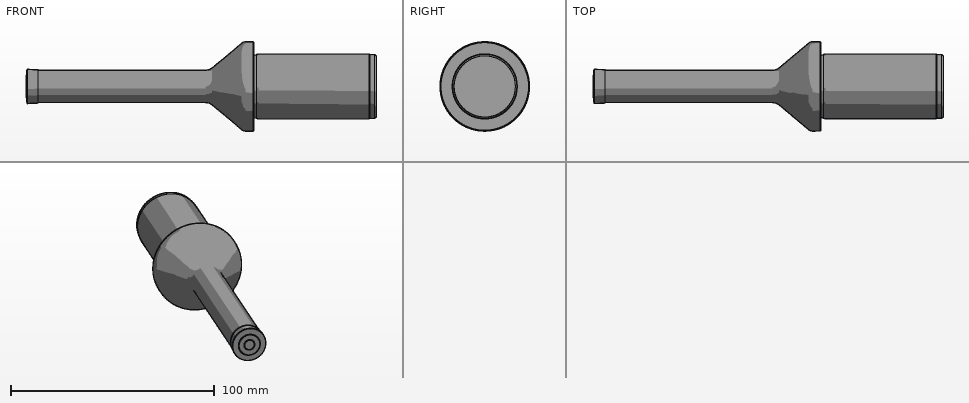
import cadquery as cq
import math


total_length = 172.0
shank_length = 60.0
head_length = 5.8
cone_start_x = 90.0
flange_back_x = total_length - shank_length

head_radius = 17.0 / 2
head_back_radius = 8.25
rim_chamfer_length = 0.3
rim_chamfer_depth = 0.2
center_boss_radius = 2.4
boss_foot_radius = 2.75
boss_height = 0.15
valley_radius = 3.8
valley_depth = 0.2
crest_radius = 5.2
crest_foot_radius = 5.55
crest_step = 0.2
face_bend_radius = 7.0
inner_face_slope = math.radians(4.0)
outer_face_slope = math.radians(6.0)

stem_radius = 16.0 / 2
flange_radius = 44.0 / 2
cone_angle = math.radians(40.0)
cone_foot_fillet = 5.0
cone_rim_fillet = 3.0
flange_chamfer = 0.5

shank_radius = 32.0 / 2
shank_end_radius = 31.5 / 2
neck_radius = 15.5
neck_length = 1.0
lead_in_length = 1.1
end_collar_length = 3.8
collar_taper_length = 0.6
end_chamfer_length = 1.0
end_chamfer_depth = 0.75


def revolve_about_x(outline):
    """Revolve an (x, radius) outline, closed along the axis, into a solid."""
    return cq.Workplane("XY").polyline(outline).close().revolve(360, (0, 0, 0), (1, 0, 0))


def make_cutting_head():
    """Slightly tapered head whose front face has a center boss, a shallow valley and a ring crest."""
    rim_face_radius = head_radius - rim_chamfer_depth
    bend_x = crest_step + (face_bend_radius - crest_foot_radius) * math.tan(inner_face_slope)
    rim_face_x = bend_x + (rim_face_radius - face_bend_radius) * math.tan(outer_face_slope)
    return revolve_about_x([
        (0, 0),
        (0, center_boss_radius),
        (boss_height, boss_foot_radius),
        (valley_depth, valley_radius),
        (0, crest_radius),
        (crest_step, crest_foot_radius),
        (bend_x, face_bend_radius),
        (rim_face_x, rim_face_radius),
        (rim_face_x + rim_chamfer_length, head_radius),
        (head_length, head_back_radius),
        (head_length, 0),
    ])


def make_holder():
    """Stem, filleted cone, flange and shank in one piece."""
    cone_end_x = cone_start_x + (flange_radius - stem_radius) / math.tan(cone_angle)
    neck_end_x = flange_back_x + neck_length
    collar_x = total_length - end_collar_length
    holder = revolve_about_x([
        (head_length, 0),
        (head_length, stem_radius),
        (cone_start_x, stem_radius),
        (cone_end_x, flange_radius),
        (flange_back_x - flange_chamfer, flange_radius),
        (flange_back_x, flange_radius - flange_chamfer),
        (flange_back_x, neck_radius),
        (neck_end_x, neck_radius),
        (neck_end_x, shank_end_radius),
        (neck_end_x + lead_in_length, shank_radius),
        (collar_x, shank_radius),
        (collar_x + collar_taper_length, shank_end_radius),
        (total_length - end_chamfer_length, shank_end_radius),
        (total_length, shank_end_radius - end_chamfer_depth),
        (total_length, 0),
    ])
    for corner_x, fillet_radius in ((cone_start_x, cone_foot_fillet), (cone_end_x, cone_rim_fillet)):
        corner = cq.selectors.NearestToPointSelector((corner_x, 0, 0))
        holder = holder.edges(corner).fillet(fillet_radius)
    return holder


cutting_head = make_cutting_head()
holder = make_holder()

result = cq.Compound.makeCompound([cutting_head.val(), holder.val()])